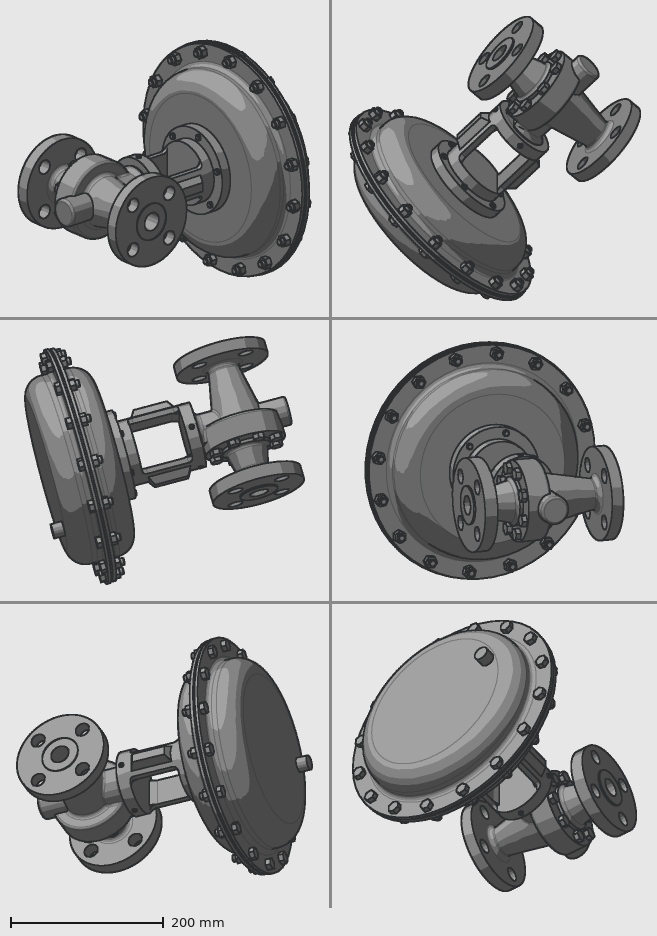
import cadquery as cq
import math


DOME_RADIUS = 127.6
DOME_CORNER = 26.8
DOME_FOOT_FILLET = 6.35
DOME_FRONT_Y = 171.2
DOME_BACK_Y = 262.0
UPPER_RIM_RADIUS = 158.75
LOWER_RIM_RADIUS = 157.6
RIM_FRONT_Y = 210.1
RIM_STEP_Y = 217.3
RIM_BACK_Y = 221.8
DIAPHRAGM_FRONT_Y = 214.8
SPLIT_LINE_DEPTH = 0.3

CASING_BOLT_COUNT = 16
CASING_BOLT_CIRCLE_RADIUS = 147.0
CASING_BOLT_START_ANGLE = 15.0
HEX_ACROSS_FLATS = 14.29
HEX_HEAD_HEIGHT = 6.9
NUT_HEIGHT = 8.1
STUD_DIAMETER = 9.53
STUD_PROJECTION = 5.6
STUD_CHAMFER = 1.0
NUT_TURN = -7.5
HEAD_TURN = 22.5

PORT_X = -84.2
PORT_Z = 28.1
PORT_DIAMETER = 19.5
PORT_END_Y = 276.79

RING_RADIUS = 59.7
RING_FRONT_Y = 157.0
RING_SCREW_COUNT = 6
RING_SCREW_CIRCLE_RADIUS = 52.5
RING_SCREW_START_ANGLE = 15.0
RING_SCREW_DIAMETER = 8.0
RING_SCREW_HEIGHT = 3.4
RING_SCREW_CHAMFER = 1.0

YOKE_RADIUS = 43.6
YOKE_FRONT_Y = 56.5
WINDOW_FRONT_Y = 73.2
WINDOW_BACK_Y = 141.6
WINDOW_HALF_WIDTH = 31.4
ARM_HALF_HEIGHT = 19.2
ARM_END_FILLET = 6.35
GUSSET_WIDTH = 3.1
GUSSET_LENGTH = 9.9
PAD_OUTER_X = 52.8
PAD_BASE_X = 41.7
PAD_BASE_LENGTH = 57.6
PAD_BASE_HEIGHT = 24.4
PAD_TOP_LENGTH = 45.4
PAD_TOP_HEIGHT = 12.6
PAD_CENTER_Y = 106.2
SET_SCREW_COUNT = 4
SET_SCREW_Y = 64.2
SET_SCREW_DIAMETER = 6.35
SET_SCREW_PROJECTION = 1.1
SET_SCREW_SOCKET_DIAMETER = 3.2

NECK_RADIUS = 25.4
NECK_RIM_RADIUS = 32.5
NECK_RIM_THICKNESS = 1.0
NECK_ROOT_FILLET = 3.0
TRUNNION_RADIUS = 19.05
TRUNNION_END_Y = -67.0
TRUNNION_FILLET = 3.2

FLANGE_RADIUS = 61.9
RAISED_FACE_RADIUS = 25.4
INLET_FACE_X = -98.2
INLET_FLANGE_FRONT_X = -96.0
INLET_FLANGE_BACK_X = -78.2
OUTLET_FLANGE_BACK_X = 81.2
OUTLET_FLANGE_FRONT_X = 97.2
OUTLET_FACE_X = 98.4
PIPE_RADIUS = 21.6
OUTLET_PIPE_RADIUS = 20.9
FLANGE_FILLET = 6.0
INLET_CONE_START_X = -64.3
INLET_CONE_END_X = -41.2
INLET_CONE_END_RADIUS = 27.7
BOSS_RADIUS = 32.5
BOSS_X = -36.6
COVER_X = -32.0
COVER_JOINT_X = -19.2
BODY_BACK_X = 0.0
BODY_RADIUS = 53.8
BODY_EDGE_FILLET = 3.2
OUTLET_CONE_START_X = 5.0
OUTLET_CONE_START_RADIUS = 34.6
OUTLET_CONE_END_X = 73.0
FLOW_BORE_DIAMETER = 25.0
FLOW_BORE_END_X = 25.4
FLANGE_HOLE_COUNT = 4
FLANGE_HOLE_START_ANGLE = 45.0
FLANGE_HOLE_DIAMETER = 19.05
FLANGE_HOLE_CIRCLE_RADIUS = 44.45
COVER_BOLT_COUNT = 8
COVER_BOLT_CIRCLE_RADIUS = 43.8
COVER_BOLT_START_ANGLE = 22.5
COVER_BOLT_TURN = 35.0

OVERLAP = 1.0


def corner_arc(profile, center, radius, start_angle, end_angle):
    """Continue a profile with a line to an arc about center, then the arc; angles in degrees."""
    def point(angle):
        turn = math.radians(angle)
        return (center[0] + radius * math.cos(turn), center[1] + radius * math.sin(turn))

    profile = profile.lineTo(*point(start_angle))
    return profile.threePointArc(point((start_angle + end_angle) / 2), point(end_angle))


def y_rod(radius, y_start, y_end, x=0.0, z=0.0):
    """Round bar parallel to Y."""
    return cq.Workplane("XZ", origin=(x, y_start, z)).circle(radius).extrude(y_start - y_end)


def x_rod(radius, x_start, x_end, y=0.0, z=0.0):
    """Round bar parallel to X."""
    return cq.Workplane("YZ", origin=(x_start, y, z)).circle(radius).extrude(x_end - x_start)


def hexagon(plane, origin, vertex_angle, length):
    """Hexagonal prism standing on a base plane, one vertex at vertex_angle."""
    across_corners = HEX_ACROSS_FLATS / math.cos(math.radians(30))
    base = cq.Workplane(plane, origin=origin).transformed(rotate=(0, 0, vertex_angle))
    return base.polygon(6, across_corners).extrude(length)


def circle_points(radius, count, start_angle):
    """Yield (angle, first coordinate, second coordinate) around a bolt circle."""
    for index in range(count):
        angle = start_angle + index * 360.0 / count
        turn = math.radians(angle)
        yield angle, radius * math.cos(turn), radius * math.sin(turn)


def make_casing():
    flat_radius = DOME_RADIUS - DOME_CORNER
    foot_radius = DOME_RADIUS + DOME_FOOT_FILLET
    profile = cq.Workplane("XY").moveTo(0, DOME_FRONT_Y)
    profile = corner_arc(profile, (flat_radius, DOME_FRONT_Y + DOME_CORNER), DOME_CORNER, -90, 0)
    profile = corner_arc(profile, (foot_radius, RIM_FRONT_Y - DOME_FOOT_FILLET), DOME_FOOT_FILLET, 180, 90)
    profile = (
        profile.lineTo(LOWER_RIM_RADIUS, RIM_FRONT_Y)
        .lineTo(LOWER_RIM_RADIUS, DIAPHRAGM_FRONT_Y)
        .lineTo(LOWER_RIM_RADIUS - SPLIT_LINE_DEPTH, DIAPHRAGM_FRONT_Y)
        .lineTo(LOWER_RIM_RADIUS - SPLIT_LINE_DEPTH, RIM_STEP_Y)
        .lineTo(UPPER_RIM_RADIUS, RIM_STEP_Y)
        .lineTo(UPPER_RIM_RADIUS, RIM_BACK_Y)
    )
    profile = corner_arc(profile, (foot_radius, RIM_BACK_Y + DOME_FOOT_FILLET), DOME_FOOT_FILLET, 270, 180)
    profile = corner_arc(profile, (flat_radius, DOME_BACK_Y - DOME_CORNER), DOME_CORNER, 0, 90)
    profile = profile.lineTo(0, DOME_BACK_Y).close()
    return profile.revolve(360, (0, 0, 0), (0, 1, 0))


def make_casing_bolts():
    nut_end_y = RIM_FRONT_Y - NUT_HEIGHT
    stud_end_y = nut_end_y - STUD_PROJECTION
    bolts = []
    for angle, x, z in circle_points(CASING_BOLT_CIRCLE_RADIUS, CASING_BOLT_COUNT, CASING_BOLT_START_ANGLE):
        nut = hexagon("XZ", (x, RIM_FRONT_Y + OVERLAP, z), angle + NUT_TURN, NUT_HEIGHT + OVERLAP)
        head_length = HEX_HEAD_HEIGHT + OVERLAP
        head = hexagon("XZ", (x, RIM_BACK_Y + HEX_HEAD_HEIGHT, z), angle + HEAD_TURN, head_length)
        stud = y_rod(STUD_DIAMETER / 2, RIM_FRONT_Y, stud_end_y, x, z).faces("<Y").chamfer(STUD_CHAMFER)
        bolts += [nut.union(stud), head]
    return bolts


def make_air_port():
    return y_rod(PORT_DIAMETER / 2, DOME_BACK_Y - DOME_CORNER, PORT_END_Y, PORT_X, PORT_Z)


def make_mounting_ring():
    ring = y_rod(RING_RADIUS, DOME_FRONT_Y + OVERLAP, RING_FRONT_Y)
    screw_end_y = RING_FRONT_Y - RING_SCREW_HEIGHT
    for _, x, z in circle_points(RING_SCREW_CIRCLE_RADIUS, RING_SCREW_COUNT, RING_SCREW_START_ANGLE):
        screw = y_rod(RING_SCREW_DIAMETER / 2, RING_FRONT_Y + OVERLAP, screw_end_y, x, z)
        ring = ring.union(screw.faces("<Y").chamfer(RING_SCREW_CHAMFER))
    return ring


def make_yoke_pad():
    """Tapered rectangular pad on the outer side of the +X arm."""
    base = cq.Workplane("YZ", origin=(PAD_BASE_X, PAD_CENTER_Y, 0)).rect(PAD_BASE_LENGTH, PAD_BASE_HEIGHT)
    tapered = (
        base.workplane(offset=PAD_OUTER_X - PAD_BASE_X)
        .rect(PAD_TOP_LENGTH, PAD_TOP_HEIGHT)
        .loft(ruled=True)
    )
    root_depth = PAD_BASE_X - WINDOW_HALF_WIDTH
    root = cq.Workplane("YZ", origin=(WINDOW_HALF_WIDTH, PAD_CENTER_Y, 0))
    return tapered.union(root.rect(PAD_BASE_LENGTH, PAD_BASE_HEIGHT).extrude(root_depth))


def make_gusset():
    """Tapered thickening at the valve end of the +X arm."""
    return (
        cq.Workplane("XY", origin=(0, 0, -ARM_HALF_HEIGHT))
        .moveTo(WINDOW_HALF_WIDTH - GUSSET_WIDTH, WINDOW_FRONT_Y)
        .lineTo(WINDOW_HALF_WIDTH, WINDOW_FRONT_Y)
        .lineTo(WINDOW_HALF_WIDTH, WINDOW_FRONT_Y + GUSSET_LENGTH)
        .close()
        .extrude(2 * ARM_HALF_HEIGHT)
    )


def make_yoke():
    window_length = WINDOW_BACK_Y - WINDOW_FRONT_Y
    window_center_y = (WINDOW_BACK_Y + WINDOW_FRONT_Y) / 2
    span = 3 * YOKE_RADIUS
    yoke = y_rod(YOKE_RADIUS, RING_FRONT_Y + OVERLAP, YOKE_FRONT_Y)
    relief = (
        cq.Workplane("XY")
        .box(span, window_length, span)
        .edges("|X")
        .fillet(ARM_END_FILLET)
        .translate((0, window_center_y, ARM_HALF_HEIGHT + span / 2))
    )
    window = cq.Workplane("XY").box(2 * WINDOW_HALF_WIDTH, window_length, span)
    yoke = yoke.cut(relief).cut(relief.mirror("XY")).cut(window.translate((0, window_center_y, 0)))
    for feature in (make_yoke_pad(), make_gusset()):
        yoke = yoke.union(feature).union(feature.mirror("YZ"))
    screw_length = YOKE_RADIUS + SET_SCREW_PROJECTION
    screw = x_rod(SET_SCREW_DIAMETER / 2, YOKE_RADIUS / 2, screw_length, SET_SCREW_Y)
    socket = x_rod(SET_SCREW_SOCKET_DIAMETER / 2, YOKE_RADIUS, screw_length, SET_SCREW_Y)
    for index in range(SET_SCREW_COUNT):
        angle = index * 360.0 / SET_SCREW_COUNT
        yoke = yoke.union(screw.rotate((0, 0, 0), (0, 1, 0), angle))
        yoke = yoke.cut(socket.rotate((0, 0, 0), (0, 1, 0), angle))
    return yoke


def make_stem_housing():
    """Neck flaring out under the yoke."""
    flare = NECK_RIM_RADIUS - NECK_RADIUS
    rim_y = YOKE_FRONT_Y - NECK_RIM_THICKNESS
    profile = cq.Workplane("XY").lineTo(NECK_RADIUS, 0)
    profile = corner_arc(profile, (NECK_RIM_RADIUS, rim_y - flare), flare, 180, 90)
    profile = (
        profile.lineTo(NECK_RIM_RADIUS, YOKE_FRONT_Y + OVERLAP).lineTo(0, YOKE_FRONT_Y + OVERLAP).close()
    )
    return profile.revolve(360, (0, 0, 0), (0, 1, 0))


def make_trunnion():
    return y_rod(TRUNNION_RADIUS, 0, TRUNNION_END_Y).faces("<Y").edges().fillet(TRUNNION_FILLET)


def make_body_shell():
    boss_fillet = BOSS_X - INLET_CONE_END_X
    cone_fillet = OUTLET_CONE_START_X - BODY_BACK_X
    profile = (
        cq.Workplane("XY")
        .moveTo(INLET_FACE_X, 0)
        .lineTo(INLET_FACE_X, RAISED_FACE_RADIUS)
        .lineTo(INLET_FLANGE_FRONT_X, RAISED_FACE_RADIUS)
        .lineTo(INLET_FLANGE_FRONT_X, FLANGE_RADIUS)
        .lineTo(INLET_FLANGE_BACK_X, FLANGE_RADIUS)
    )
    inlet_fillet_center = (INLET_FLANGE_BACK_X + FLANGE_FILLET, PIPE_RADIUS + FLANGE_FILLET)
    profile = corner_arc(profile, inlet_fillet_center, FLANGE_FILLET, 180, 270)
    profile = profile.lineTo(INLET_CONE_START_X, PIPE_RADIUS)
    boss_fillet_center = (INLET_CONE_END_X, INLET_CONE_END_RADIUS + boss_fillet)
    profile = corner_arc(profile, boss_fillet_center, boss_fillet, -90, 0)
    profile = (
        profile.lineTo(BOSS_X, BOSS_RADIUS)
        .lineTo(COVER_X, BOSS_RADIUS)
        .lineTo(COVER_X, BODY_RADIUS)
    )
    edge_center = (BODY_BACK_X - BODY_EDGE_FILLET, BODY_RADIUS - BODY_EDGE_FILLET)
    profile = corner_arc(profile, edge_center, BODY_EDGE_FILLET, 90, 0)
    cone_fillet_center = (OUTLET_CONE_START_X, OUTLET_CONE_START_RADIUS + cone_fillet)
    profile = corner_arc(profile, cone_fillet_center, cone_fillet, 180, 270)
    profile = profile.lineTo(OUTLET_CONE_END_X, OUTLET_PIPE_RADIUS)
    outlet_fillet_center = (OUTLET_FLANGE_BACK_X - FLANGE_FILLET, OUTLET_PIPE_RADIUS + FLANGE_FILLET)
    profile = corner_arc(profile, outlet_fillet_center, FLANGE_FILLET, 270, 360)
    profile = (
        profile.lineTo(OUTLET_FLANGE_BACK_X, FLANGE_RADIUS)
        .lineTo(OUTLET_FLANGE_FRONT_X, FLANGE_RADIUS)
        .lineTo(OUTLET_FLANGE_FRONT_X, RAISED_FACE_RADIUS)
        .lineTo(OUTLET_FACE_X, RAISED_FACE_RADIUS)
        .lineTo(OUTLET_FACE_X, 0)
        .close()
    )
    return profile.revolve(360, (0, 0, 0), (1, 0, 0))


def rebuild_cover(body):
    """Replace the cover slab by a plain disc, which ends the neck flush with the cover joint."""
    thickness = COVER_JOINT_X - COVER_X
    slab = cq.Workplane("XY").box(thickness, 2 * YOKE_FRONT_Y, 2 * YOKE_FRONT_Y)
    slab = slab.translate((COVER_X + thickness / 2, 0, 0))
    return body.cut(slab).union(x_rod(BODY_RADIUS, COVER_X, COVER_JOINT_X))


def cut_flange_holes(body):
    for _, y, z in circle_points(FLANGE_HOLE_CIRCLE_RADIUS, FLANGE_HOLE_COUNT, FLANGE_HOLE_START_ANGLE):
        body = body.cut(x_rod(FLANGE_HOLE_DIAMETER / 2, INLET_FACE_X, INLET_FLANGE_BACK_X, y, z))
        body = body.cut(x_rod(FLANGE_HOLE_DIAMETER / 2, OUTLET_FLANGE_BACK_X, OUTLET_FACE_X, y, z))
    return body


def cut_flow_bores(body):
    body = body.cut(x_rod(FLOW_BORE_DIAMETER / 2, INLET_FACE_X, -FLOW_BORE_END_X))
    return body.cut(x_rod(FLOW_BORE_DIAMETER / 2, FLOW_BORE_END_X, OUTLET_FACE_X))


def make_cover_bolts():
    heads = []
    for angle, y, z in circle_points(COVER_BOLT_CIRCLE_RADIUS, COVER_BOLT_COUNT, COVER_BOLT_START_ANGLE):
        origin = (COVER_X - HEX_HEAD_HEIGHT, y, z)
        heads.append(hexagon("YZ", origin, angle + COVER_BOLT_TURN, HEX_HEAD_HEIGHT + OVERLAP))
    return heads


def make_valve():
    valve = make_body_shell().union(make_stem_housing())
    valve = valve.edges("%BSPLINE").fillet(NECK_ROOT_FILLET)
    valve = rebuild_cover(valve).union(make_trunnion())
    valve = cut_flow_bores(cut_flange_holes(valve))
    for head in make_cover_bolts():
        valve = valve.union(head)
    return valve


attached_parts = [make_air_port(), make_mounting_ring(), make_yoke(), make_valve()] + make_casing_bolts()
result = cq.Workplane(make_casing().val().fuse(*[part.val() for part in attached_parts]))